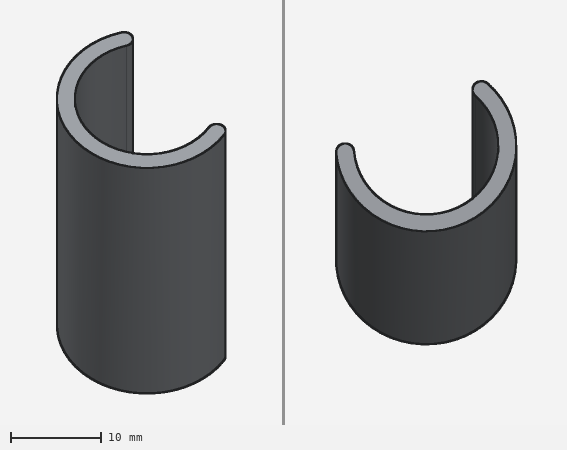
import cadquery as cq
import math

outer_radius = 10.0
wall = 2.0
length = 39.0
depth = 14.27

inner_radius = outer_radius - wall
mid_radius = outer_radius - wall / 2
lip_radius = wall / 2
lip_center_y = depth - outer_radius - lip_radius
lip_angle = math.asin(lip_center_y / mid_radius)


def lip_point(radius, side):
    """Point where an arc of the given radius meets the lip; side is +1 or -1 in X."""
    return (side * radius * math.cos(lip_angle), radius * math.sin(lip_angle))


def lip_tip(side):
    """Farthest point of the rounded lip, measured along the wall from its centre."""
    center_x, center_y = lip_point(mid_radius, side)
    return (
        center_x - side * lip_radius * math.sin(lip_angle),
        center_y + lip_radius * math.cos(lip_angle),
    )


def clip_profile():
    """Open C section in the XY plane, axis at the origin, opening toward +Y."""
    return (
        cq.Workplane("XY")
        .moveTo(*lip_point(outer_radius, -1))
        .threePointArc((0, -outer_radius), lip_point(outer_radius, 1))
        .threePointArc(lip_tip(1), lip_point(inner_radius, 1))
        .threePointArc((0, -inner_radius), lip_point(inner_radius, -1))
        .threePointArc(lip_tip(-1), lip_point(outer_radius, -1))
        .close()
    )


result = clip_profile().extrude(length)